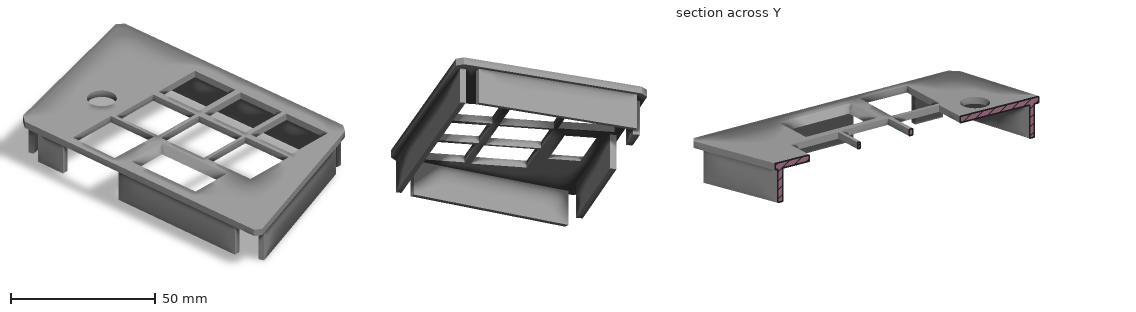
import cadquery as cq
import math

length_x = 131.67
width_y = 74.32
total_height = 14.99
plate_thickness = 2.54
wall_height = total_height - plate_thickness
half_x = length_x / 2
half_y = width_y / 2

plate_outline = [
    (-half_x, 32.1),
    (-63.8, 34.6),
    (38.2, half_y),
    (41.4, 34.7),
    (half_x, -32.8),
    (64.3, -35.2),
    (-43.6, -half_y),
    (-46.9, -34.6),
]

grid_tilt = 1.35
key_openings = [
    (-14.55, 19.02, 19.0, 18.9),
    (7.1, 19.45, 19.45, 18.9),
    (28.5, 20.1, 19.45, 18.75),
    (-13.65, -2.7, 19.8, 19.35),
    (7.95, -2.45, 20.2, 19.75),
    (29.45, -1.6, 20.2, 19.75),
]
lower_key_corners = [(-24.5, -13.9), (-4.1, -13.55), (-4.1, -33.5), (-24.1, -33.5)]

knob_hole_diameter = 10.41
knob_hole_centre = (-34.95, -7.45)

window_centre = (16.2, -22.7)
window_top_size = (30.75, 16.4)
window_flare = plate_thickness

walls = [
    ((-62.15, 26.15), (-45.5, -33.25), 2.0),
    ((-38.9, -35.55), (-27.1, -35.3), 2.4),
    ((-1.0, -34.9), (53.8, -33.9), 2.4),
    ((63.85, -29.7), (42.0, 29.4), 2.2),
    ((39.0, 35.2), (-61.1, 32.55), 2.0),
]


def make_plate():
    return (
        cq.Workplane("XY", origin=(0, 0, wall_height))
        .polyline(plate_outline)
        .close()
        .extrude(plate_thickness)
    )


def make_wall(start, end, thickness):
    run_x = end[0] - start[0]
    run_y = end[1] - start[1]
    run = math.hypot(run_x, run_y)
    inward_x = -run_y / run * thickness
    inward_y = run_x / run * thickness
    footprint = [
        start,
        end,
        (end[0] + inward_x, end[1] + inward_y),
        (start[0] + inward_x, start[1] + inward_y),
    ]
    return cq.Workplane("XY").polyline(footprint).close().extrude(wall_height)


def make_key_cutter(centre_x, centre_y, width, height):
    return (
        cq.Workplane("XY")
        .box(width, height, plate_thickness, centered=(True, True, False))
        .rotate((0, 0, 0), (0, 0, 1), grid_tilt)
        .translate((centre_x, centre_y, wall_height))
    )


def make_lower_key_cutter():
    return (
        cq.Workplane("XY", origin=(0, 0, wall_height))
        .polyline(lower_key_corners)
        .close()
        .extrude(plate_thickness)
    )


def make_knob_hole_cutter():
    return (
        cq.Workplane("XY", origin=(0, 0, wall_height))
        .center(*knob_hole_centre)
        .circle(knob_hole_diameter / 2)
        .extrude(plate_thickness)
    )


def make_window_cutter():
    top_x, top_y = window_top_size
    return (
        cq.Workplane("XY")
        .rect(top_x - 2 * window_flare, top_y - 2 * window_flare)
        .workplane(offset=plate_thickness)
        .rect(top_x, top_y)
        .loft(ruled=True)
        .rotate((0, 0, 0), (0, 0, 1), grid_tilt)
        .translate((*window_centre, wall_height))
    )


result = make_plate()
for wall_start, wall_end, wall_thickness in walls:
    result = result.union(make_wall(wall_start, wall_end, wall_thickness))
for opening in key_openings:
    result = result.cut(make_key_cutter(*opening))
result = result.cut(make_lower_key_cutter())
result = result.cut(make_knob_hole_cutter())
result = result.cut(make_window_cutter())